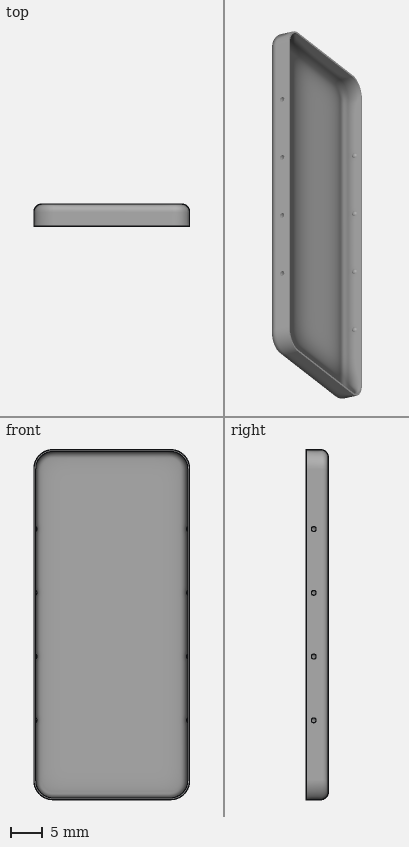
import cadquery as cq

height = 55.0
width = 24.5
depth = 3.5
wall = 0.3
corner_radius = 3.0
back_fillet = 1.25

dimple_count = 4
dimple_pitch = 10.0
dimple_radius = 0.4
dimple_from_rim = 1.2
bump_radius = 0.5

rim_y = -depth / 2


def rounded_block(inset):
    """Block inset from the tray's sides and back, with rounded corners and back edge."""
    block = cq.Workplane("XY").box(width - 2 * inset, depth - inset, height - 2 * inset)
    block = block.edges("|Y").fillet(corner_radius - inset)
    block = block.faces(">Y").edges().fillet(back_fillet - inset)
    return block.translate((0, -inset / 2, 0))


def dimple_spheres(radius):
    """Spheres centred on the outer faces of both long sides, poles along X."""
    first_z = -dimple_pitch * (dimple_count - 1) / 2
    ball = cq.Workplane("YZ").sphere(radius)
    return [
        ball.translate((side * width / 2, rim_y + dimple_from_rim, first_z + i * dimple_pitch))
        for side in (-1, 1)
        for i in range(dimple_count)
    ]


outer = rounded_block(0)

cavity = rounded_block(wall)
for bump in dimple_spheres(bump_radius):
    cavity = cavity.cut(bump)

result = outer.cut(cavity)
for hollow in dimple_spheres(dimple_radius):
    result = result.cut(hollow)